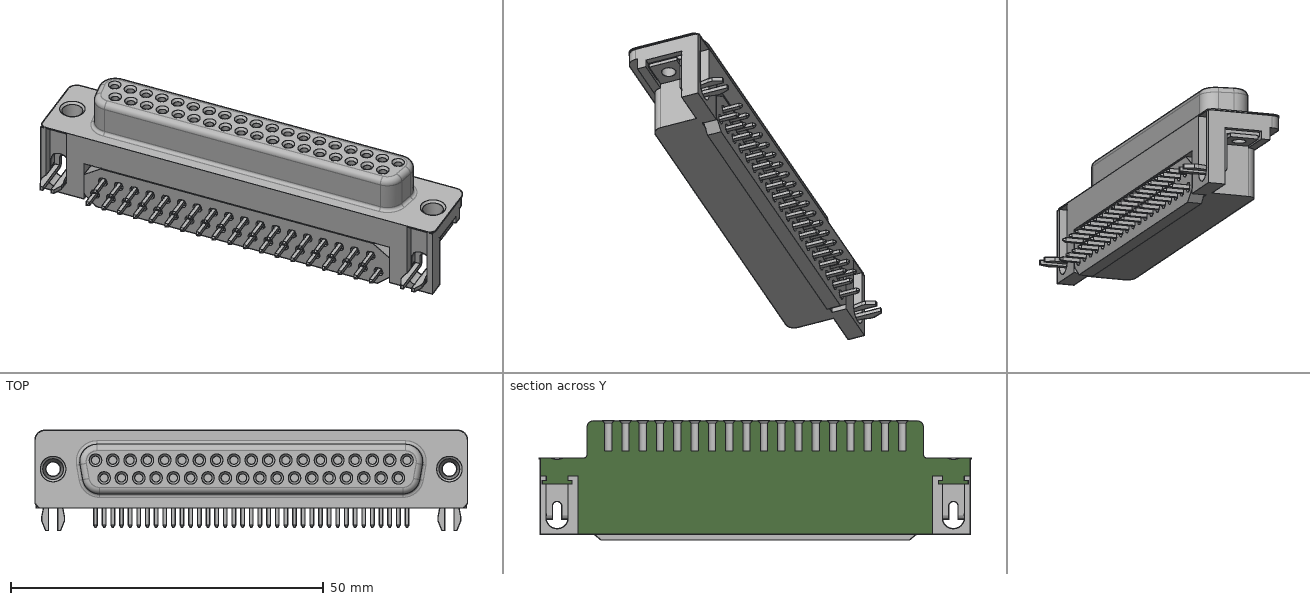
import cadquery as cq
import math


LENGTH = 69.3
DEPTH = 12.5
FRONT_Y = -DEPTH / 2
BACK_Y = DEPTH / 2
PLATE_THICKNESS = 0.2
BACK_CORNER_RADIUS = 1.6
FRONT_CORNER_CHAMFER = 0.7
BODY_LENGTH = 69.0
FLANGE_BOTTOM_Z = -2.2
BODY_BACK_Y = 4.3
SLAB_BOTTOM_Z = -4.2
BODY_BOTTOM_Z = -12.3
FRONT_WALL = 2.85
WALL_BACK_Y = FRONT_Y + FRONT_WALL
HOUSING_LENGTH = 56.85
HOUSING_BACK_RADIUS = 1.45

SHELL_HEIGHT = 5.95
SHELL_DEPTH = 8.0
SHELL_HALF_DEPTH = SHELL_DEPTH / 2
SHELL_MID_HALF_LENGTH = 27.3
SHELL_ANGLE = 10.0
SHELL_CORNER_RADIUS = 2.8
SHELL_TOP_FILLET = 1.05
SHELL_BASE_FILLET = 0.55

CONTACT_PITCH = 2.8
ROW_SPACING = 2.85
LONG_ROW = 19
SHORT_ROW = 18
SOCKET_MOUTH_DIAMETER = 2.0
SOCKET_MOUTH_DEPTH = 0.4
SOCKET_BORE_DIAMETER = 1.3
SOCKET_BORE_DEPTH = 4.85
PIN_WIDTH = 0.6
PIN_END_Y = -9.35
PIN_TIP_LENGTH = 0.4
PIN_TIP_WIDTH = 0.2
PIN_WELL_DIAMETER = 1.5
PIN_WELL_DEPTH = 0.55
PIN_EMBEDMENT = 0.35
LOWER_PIN_Z = -10.75
UPPER_PIN_Z = LOWER_PIN_Z + ROW_SPACING

BLOCK_HALF_LENGTH = 26.9
BLOCK_TOP_Z = -5.2
BLOCK_BOTTOM_Z = -13.2
BLOCK_DEPTH = 2.4
BLOCK_FACE_RECESS = 0.1
BLOCK_TOP_GAP = 0.2
BLOCK_TOP_CORNER = (2.9, 2.0)
BLOCK_BOTTOM_CORNER = (2.15, 1.9)

MOUNT_X = 31.75
MOUNT_MOUTH_DIAMETER = 4.1
MOUNT_BORE_DIAMETER = 2.3
MOUNT_NECK_DIAMETER = 3.3
MOUNT_NECK_DEPTH = 0.35
NUT_WIDTH = 4.8
STRIP_THICKNESS = 0.7
STRIP_BEND_RADIUS = 0.55
STRIP_SLOT_TOP_Z = -2.9
STRIP_BACK_Y = 2.85
CHANNEL_WIDTH = 3.55
CHANNEL_DEPTH = 1.5
CHANNEL_CENTER_Z = -9.6
WINDOW_WIDTH = 3.2
WINDOW_TOP_Z = -5.75
PRONG_GAP = 1.45
PRONG_GAP_TOP_Z = -7.0
PRONG_TOP_Z = -9.15
PRONG_END_Y = -9.85
PRONG_ROOT_WIDTH = 0.8
PRONG_BARB_WIDTH = 1.1
PRONG_TIP_WIDTH = 0.5
BARB_START_Y = -7.6
BARB_END_Y = -8.3


def box(x0, x1, y0, y1, z0, z1):
    return cq.Workplane("XY").box(x1 - x0, y1 - y0, z1 - z0, centered=False).translate((x0, y0, z0))


def wide_box(length, y0, y1, z0, z1):
    return box(-length / 2, length / 2, y0, y1, z0, z1)


def rod(diameter, x, z, y_back, y_front):
    """Cylinder along Y reaching from y_back forward to y_front."""
    return cq.Workplane("XZ", origin=(x, y_back, z)).circle(diameter / 2).extrude(y_back - y_front)


def row_positions(count):
    return [(i - (count - 1) / 2) * CONTACT_PITCH for i in range(count)]


def tapered_bore(mouth, neck, neck_depth, end, end_z):
    """Downward bore from Z = 0: a cone from mouth to neck diameter, then on to end diameter."""
    profile = [(0, 0), (mouth / 2, 0), (neck / 2, -neck_depth), (end / 2, end_z), (0, end_z)]
    return cq.Workplane("XZ").polyline(profile).close().revolve(360, (0, 0, 0), (0, 1, 0))


def make_body():
    plate = wide_box(LENGTH, FRONT_Y, BACK_Y, -PLATE_THICKNESS, 0)
    plate = plate.edges("|Z and >Y").fillet(BACK_CORNER_RADIUS)
    plate = plate.edges("|Z and <Y").chamfer(FRONT_CORNER_CHAMFER)
    flange = wide_box(BODY_LENGTH, FRONT_Y, BACK_Y, FLANGE_BOTTOM_Z, -PLATE_THICKNESS)
    flange = flange.edges("|Z and >Y").fillet(BACK_CORNER_RADIUS)
    slab = wide_box(BODY_LENGTH, FRONT_Y, BODY_BACK_Y, SLAB_BOTTOM_Z, -PLATE_THICKNESS)
    wall = wide_box(BODY_LENGTH, FRONT_Y, WALL_BACK_Y, BODY_BOTTOM_Z, -PLATE_THICKNESS)
    housing = wide_box(HOUSING_LENGTH, FRONT_Y, BODY_BACK_Y, BODY_BOTTOM_Z, SLAB_BOTTOM_Z)
    housing = housing.edges("|Z and >Y").fillet(HOUSING_BACK_RADIUS)
    return plate.union(flange).union(slab).union(wall).union(housing)


def make_shell():
    lean = SHELL_HALF_DEPTH * math.tan(math.radians(SHELL_ANGLE))
    back_half = SHELL_MID_HALF_LENGTH + lean
    front_half = SHELL_MID_HALF_LENGTH - lean
    outline = [
        (-back_half, SHELL_HALF_DEPTH),
        (back_half, SHELL_HALF_DEPTH),
        (front_half, -SHELL_HALF_DEPTH),
        (-front_half, -SHELL_HALF_DEPTH),
    ]
    shell = cq.Workplane("XY").workplane(offset=-PLATE_THICKNESS).polyline(outline).close()
    shell = shell.extrude(SHELL_HEIGHT + PLATE_THICKNESS)
    shell = shell.edges("not(#Z)").fillet(SHELL_CORNER_RADIUS)
    return shell.faces(">Z").edges().fillet(SHELL_TOP_FILLET)


def blend_shell_base(part):
    """Fillet the inner corner where the shell rises from the plate."""
    margin = 0.1
    reach = SHELL_HALF_DEPTH + margin
    selector = cq.selectors.BoxSelector(
        (-MOUNT_X, -reach, -margin), (MOUNT_X, reach, margin))
    return part.edges(selector).fillet(SHELL_BASE_FILLET)


def cut_sockets(part):
    socket = tapered_bore(
        SOCKET_MOUTH_DIAMETER, SOCKET_BORE_DIAMETER, SOCKET_MOUTH_DEPTH,
        SOCKET_BORE_DIAMETER, -SOCKET_BORE_DEPTH)
    for count, y in ((LONG_ROW, ROW_SPACING / 2), (SHORT_ROW, -ROW_SPACING / 2)):
        for x in row_positions(count):
            part = part.cut(socket.translate((x, y, SHELL_HEIGHT)))
    return part


def set_pin_block(part):
    """Open the front wall and fill it with the pin block, whose corners are cut off."""
    back_y = FRONT_Y + BLOCK_DEPTH
    block_top_z = BLOCK_TOP_Z - BLOCK_TOP_GAP
    half = BLOCK_HALF_LENGTH
    top_x, top_z = BLOCK_TOP_CORNER
    low_x, low_z = BLOCK_BOTTOM_CORNER
    right_side = [
        (half - low_x, BLOCK_BOTTOM_Z),
        (half, BLOCK_BOTTOM_Z + low_z),
        (half, block_top_z - top_z),
        (half - top_x, block_top_z),
    ]
    left_side = [(-x, z) for x, z in reversed(right_side)]
    block = cq.Workplane("XZ", origin=(0, back_y, 0)).polyline(right_side + left_side).close()
    block = block.extrude(BLOCK_DEPTH - BLOCK_FACE_RECESS)
    opening = wide_box(2 * half, FRONT_Y, back_y, BLOCK_BOTTOM_Z, BLOCK_TOP_Z)
    return part.cut(opening).union(block)


def add_pins(part):
    """Square pins with tapered tips, each standing in a round well in the block face."""
    face_y = FRONT_Y + BLOCK_FACE_RECESS
    well_floor_y = face_y + PIN_WELL_DEPTH
    embedded_y = well_floor_y + PIN_EMBEDMENT
    half = PIN_WIDTH / 2
    square_pin = box(-half, half, PIN_END_Y + PIN_TIP_LENGTH, embedded_y, -half, half)
    square_pin = square_pin.faces("<Y").workplane(centerOption="CenterOfMass").rect(PIN_WIDTH, PIN_WIDTH)
    square_pin = square_pin.workplane(offset=PIN_TIP_LENGTH).rect(PIN_TIP_WIDTH, PIN_TIP_WIDTH).loft()
    for count, z in ((LONG_ROW, LOWER_PIN_Z), (SHORT_ROW, UPPER_PIN_Z)):
        for x in row_positions(count):
            pin = square_pin.translate((x, 0, z))
            part = part.cut(rod(PIN_WELL_DIAMETER, x, z, well_floor_y, face_y)).union(pin)
    return part


def window_outline(width, top_z, bottom_z):
    """Upright slot with a round top, drawn about x = 0."""
    half = width / 2
    return (cq.Workplane("XZ").moveTo(-half, bottom_z).lineTo(-half, top_z - half)
            .threePointArc((0, top_z), (half, top_z - half)).lineTo(half, bottom_z).close())


def channel_cut():
    """Front channel with a round lower end, and the window behind it through the wall."""
    half = CHANNEL_WIDTH / 2
    floor_y = FRONT_Y + CHANNEL_DEPTH
    channel = box(-half, half, FRONT_Y, floor_y, CHANNEL_CENTER_Z, -PLATE_THICKNESS)
    round_end = rod(CHANNEL_WIDTH, 0, CHANNEL_CENTER_Z, WALL_BACK_Y, FRONT_Y)
    window = window_outline(WINDOW_WIDTH, WINDOW_TOP_Z, CHANNEL_CENTER_Z)
    window = window.extrude(FRONT_WALL).translate((0, WALL_BACK_Y, 0))
    return channel.union(round_end).union(window)


def make_prong():
    """Barbed prong on the +X side of the gap."""
    inner = PRONG_GAP / 2
    outline = [
        (inner, WALL_BACK_Y),
        (inner, PRONG_END_Y),
        (inner + PRONG_TIP_WIDTH, PRONG_END_Y),
        (inner + PRONG_BARB_WIDTH, BARB_END_Y),
        (inner + PRONG_BARB_WIDTH, BARB_START_Y),
        (inner + PRONG_ROOT_WIDTH, FRONT_Y),
        (inner + PRONG_ROOT_WIDTH, WALL_BACK_Y),
    ]
    prong = cq.Workplane("XY").workplane(offset=PRONG_TOP_Z).polyline(outline).close()
    return prong.extrude(-STRIP_THICKNESS)


def make_board_lock():
    """Bent strip: flat under the slab, down behind the wall, two prongs out through the window."""
    half = CHANNEL_WIDTH / 2
    nut_half = NUT_WIDTH / 2
    back_y = WALL_BACK_Y + STRIP_THICKNESS
    strip_bottom_z = STRIP_SLOT_TOP_Z - STRIP_THICKNESS
    flat = box(-half, half, WALL_BACK_Y, STRIP_BACK_Y, strip_bottom_z, STRIP_SLOT_TOP_Z)
    prong_bottom_z = PRONG_TOP_Z - STRIP_THICKNESS
    upright = box(-half, half, WALL_BACK_Y, back_y, prong_bottom_z, STRIP_SLOT_TOP_Z)
    upright = upright.edges("|X and >Y and <Z").fillet(STRIP_BEND_RADIUS)
    gap = window_outline(PRONG_GAP, PRONG_GAP_TOP_Z, prong_bottom_z)
    gap = gap.extrude(STRIP_THICKNESS).translate((0, back_y, 0))
    nut = box(-nut_half, nut_half, -nut_half, nut_half, SLAB_BOTTOM_Z, strip_bottom_z)
    prong = make_prong()
    return flat.union(upright).cut(gap).union(nut).union(prong).union(prong.mirror("YZ"))


def fit_mounts(part):
    slot_inner_x = HOUSING_LENGTH / 2
    bore = tapered_bore(
        MOUNT_MOUTH_DIAMETER, MOUNT_NECK_DIAMETER, MOUNT_NECK_DEPTH, MOUNT_BORE_DIAMETER, SLAB_BOTTOM_Z)
    for side in (-1, 1):
        shift = (side * MOUNT_X, 0, 0)
        ends = sorted((side * slot_inner_x, side * LENGTH / 2))
        strip_slot = box(*ends, WALL_BACK_Y, STRIP_BACK_Y, SLAB_BOTTOM_Z, STRIP_SLOT_TOP_Z)
        part = part.cut(strip_slot).cut(channel_cut().translate(shift))
        part = part.union(make_board_lock().translate(shift))
        part = part.cut(bore.translate(shift))
    return part


result = make_body().union(make_shell())
result = blend_shell_base(result)
result = cut_sockets(result)
result = set_pin_block(result)
result = add_pins(result)
result = fit_mounts(result)